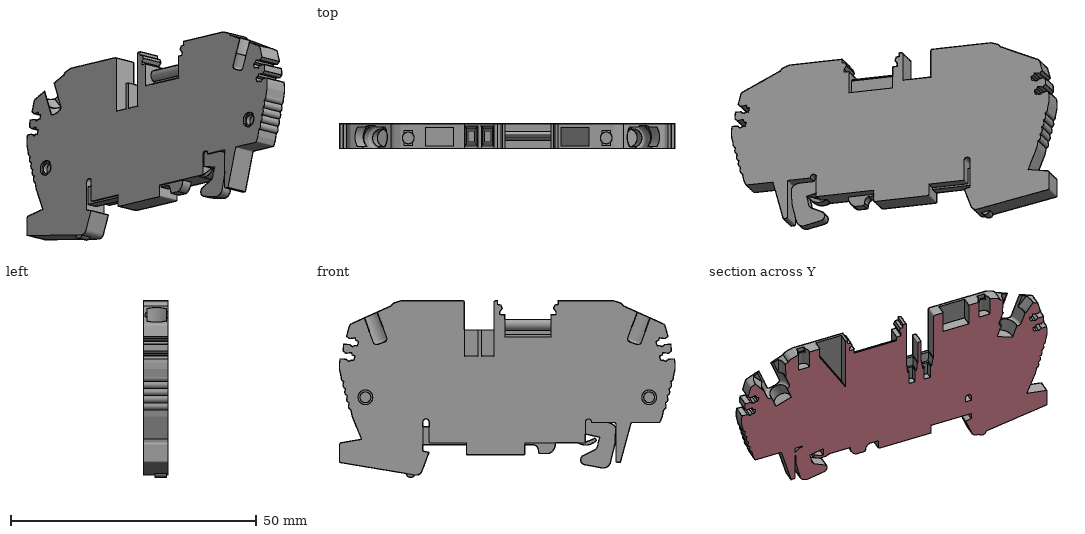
import cadquery as cq
import math

THICKNESS = 5.1
FRONT = -THICKNESS / 2
BACK = THICKNESS / 2
TOP = 36.06
CORNER_SEARCH = 0.05
HALF_LENGTH = 34.25

ROOF_END = (-21.7, TOP)
ROOF_NOSE = (-23.3, 35.55)
ROOF_NOSE_RADIUS = 1.6
ROOF_NOSE_FOOT = (-23.75, 35.0)
SHOULDER = (-32.15, 31.2)
SHOULDER_RADIUS = 0.8
NOTCH_START = (-32.8, 28.8)
NOTCH_PITCH = (-0.72, -3.0)
NOTCH_COUNT = 2
NOTCH_SHAPE = [
    (0, 0), (0.6, -0.5), (1.75, -0.35), (1.85, -0.8), (2.45, -1.05),
    (2.2, -1.9), (1.75, -1.85), (1.2, -2.1), (0.6, -1.65), (-0.6, -1.6),
]
FLANK_TOP = (-HALF_LENGTH, 23.3)
FLANK_BEND = (-HALF_LENGTH, 22.1)
TOOTH_START = (-33.9, 20.43)
TOOTH_PITCH = (0.37, -1.45)
TOOTH_CREST = (0.1, -0.5)
TOOTH_ROOT = (0.5, -0.85)
TOOTH_COUNT = 5
FLANK_BEND_LOW = (-31.63, 12.4)
FLANK_FOOT = (-29.75, 7.8)

FOOT_TIP_TOP = 7.03
FOOT_TIP_BOTTOM = 3.05
FOOT_TIP_RADIUS = 0.5
FOOT_HEEL = (-17.75, 0.3)
FOOT_HEEL_RADIUS = 1.3
FOOT_HOOK_TIP = (-15.95, 5.1)
FOOT_HOOK_ROOT = 5.4
SLOT_OUTER_X = 17.2
SLOT_INNER_X = 15.95
SLOT_SPRING = 11.3
SLOT_CENTER_X = (SLOT_OUTER_X + SLOT_INNER_X) / 2
SLOT_CROWN = SLOT_SPRING + (SLOT_OUTER_X - SLOT_INNER_X) / 2
UNDERSIDE = 7.03
KEEL_LEFT = -8.33
KEEL_RIGHT = 3.6
KEEL_BOTTOM = 4.58
SMALL_RADIUS = 0.3
TAB_LEFT = 22.15
TAB_BOTTOM = 3.09
TAB_TIP_RIGHT = 23.1
TAB_ROOT_RIGHT = 25.3
RIGHT_UNDERSIDE = 11.2

BRIDGE_LEFT = -8.74
BRIDGE_RIGHT = -2.74
BRIDGE_FLOOR = 24.74
BRIDGE_BACK_TOP = 30.1
BRIDGE_BACK_Y = 2.1
BRIDGE_RIB_LEFT = -6.0
BRIDGE_RIB_RIGHT = -5.24
POST_RADIUS = 0.4

MARKER_LEFT = -0.5
MARKER_RIGHT = 8.92
MARKER_FLOOR = 28.65
SNAP_SHAPE = [(0, 33.2), (1.0, 33.25), (1.0, 33.8), (0.5, 34.5), (0.8, 35.2), (1.45, 35.3), (1.45, TOP)]

FUNNEL_FRONT_Y = -2.0
FUNNEL_MARGIN = 0.1
FUNNEL_BOTTOM_SIZE = (1.9, 3.1)
FUNNEL_DEPTH = 2.0
SHAFT_SIZE = (1.3, 2.3)
SHAFT_Y = -0.1
SHAFT_DEPTH = 5.0
BRIDGE_RIB_RADIUS = 0.2

RAIL_CREST = (-0.15, 32.24)
RAIL_CREST_BACK_Y = 0.2
RAIL_FRONT = (-0.88, 31.1)
RAIL_UNDERCUT = (0.0, 29.95)
RAIL_SHOULDER_Z = 31.7
RAIL_BACK_Y = 0.9
RAIL_BASE_FRONT_Y = -0.65
RAIL_BASE_TOP = 29.2

ENTRY_TILT = 20
ENTRY_X = 27.85
ENTRY_Z = 33.2
ENTRY_Y = -0.4
ENTRY_RADIUS = 2.6
ENTRY_DEPTH = 6.2
ENTRY_BOTTOM_RADIUS = 0.6
WIRE_HOLE_RADIUS = 1.85
WIRE_HOLE_DEPTH = 9.0
MOUTH_Y = -0.17
MOUTH_WIDTH = 3.95
MOUTH_RADIUS = 3.65
MOUTH_THROAT_RADIUS = 2.75
MOUTH_DEPTH = 3.0
ENTRY_CLEARANCE = 3.0

POCKET_INNER_X = 10.93
POCKET_OUTER_X = 16.65
POCKET_FRONT_Y = -2.0
POCKET_BACK_Y = 1.77
POCKET_DEPTH = 5.0
POCKET_RAMP_TOP = 2.3
POCKET_RAMP_ANGLE = 60
SCREW_X = 20.2
SCREW_Y = -0.38
SCREW_DIAMETER = 2.4
SCREW_SLOT = (1.65, 3.0)
SCREW_SLOT_DEPTH = 1.0
SCREW_DEPTH = 4.0

SOCKET_X = 28.94
SOCKET_Z = 16.35
SOCKET_OUTER = 3.0
SOCKET_INNER = 2.2
SOCKET_STEP_DEPTH = 0.5
SOCKET_DEPTH = 1.5

SLIDER_FRONT = -2.2
SLIDER_BACK = 0.17
SLIDER_BOTTOM = 6.64
SLIDER_TOP = 10.35
LUG_START_X = 5.5
LUG_FRONT_ARC = [(6.15, 6.1), (6.35, 5.3)]
LUG_BOTTOM = 4.84
LUG_BOTTOM_LEFT = 6.5
LUG_BOTTOM_RIGHT = 8.5
LUG_BACK_ARC = [(9.5, 5.7), (9.85, 7.0)]
STUD_X = -19.7
STUD_RADIUS = 0.95

HOOK_ROOT_X = 15.6
HOOK_ROOT_TOP = 12.2
HOOK_ROOT_BOTTOM = 8.9
HOOK_STEM_RIGHT = 17.2
HOOK_TOP = RIGHT_UNDERSIDE
HOOK_CORNER_START_X = 20.3
HOOK_CORNER_ARC = [(21.5, 10.85), (TAB_LEFT, 10.2)]
HOOK_BACK = [(22.0, 6.9), (21.15, 3.4)]
HOOK_HEEL_ARC = [(20.6, 2.3), (19.4, 1.9)]
HOOK_TOE_START = (15.7, 2.6)
HOOK_TOE_ARC = [(14.97, 3.6), (15.55, 4.5)]
HOOK_THROAT_START = (18.0, 5.7)
HOOK_THROAT_ARC = [(18.4, 6.3), (18.5, 7.0)]
HOOK_THROAT_END = (18.85, 8.2)

TONGUE_ROOT = [(14.5, 7.4), (14.5, 7.0)]
TONGUE_LOWER_ARC = [(16.6, 6.64), (18.25, 7.6)]
TONGUE_TIP = (17.9, 8.05)
TONGUE_UPPER_ARC = [(17.0, 7.6), (15.9, 7.25)]


def plate(outline, front, back):
    """Extrude a closed XZ wire from Y = front to Y = back."""
    return outline.extrude(back - front).translate((0, back, 0))


def box(x_min, x_max, y_min, y_max, z_min, z_max):
    size = (x_max - x_min, y_max - y_min, z_max - z_min)
    return cq.Workplane("XY").box(*size, centered=False).translate((x_min, y_min, z_min))


def round_corners(solid, corners, radius):
    """Fillet the edges along Y that stand at the given XZ corners."""
    reach = CORNER_SEARCH
    for x, z in corners:
        low = (x - reach, -THICKNESS, z - reach)
        high = (x + reach, THICKNESS, z + reach)
        solid = solid.edges("|Y").edges(cq.selectors.BoxSelector(low, high)).fillet(radius)
    return solid


def mirrored(points):
    """The XZ points reflected about X = 0."""
    return [(-x, z) for x, z in points]


def offset(point, step, count=1):
    return (point[0] + step[0] * count, point[1] + step[1] * count)


def flank_points():
    """Left flank from the end of the roof down to just above the grip teeth."""
    points = [ROOF_END, ROOF_NOSE, ROOF_NOSE_FOOT, SHOULDER]
    for index in range(NOTCH_COUNT):
        start = offset(NOTCH_START, NOTCH_PITCH, index)
        points += [offset(start, point) for point in NOTCH_SHAPE]
    return points + [FLANK_TOP, FLANK_BEND]


def draw_teeth(outline, reverse):
    """Add the grip teeth of the left flank (reverse, upward) or of the right flank (downward)."""
    for index in range(TOOTH_COUNT):
        start = offset(TOOTH_START, TOOTH_PITCH, TOOTH_COUNT - 1 - index if reverse else index)
        tooth = [start, offset(start, TOOTH_CREST), offset(start, TOOTH_ROOT)]
        first, crest, last = reversed(tooth) if reverse else mirrored(tooth)
        outline = outline.lineTo(*first).threePointArc(crest, last)
    return outline


def draw_lines(outline, points):
    for x, z in points:
        outline = outline.lineTo(x, z)
    return outline


def flank_x(z):
    """X of the straight lower flank at height z."""
    x_top, z_top = FLANK_BEND_LOW
    x_low, z_low = FLANK_FOOT
    return x_top + (x_low - x_top) * (z_top - z) / (z_top - z_low)


def housing():
    """Plate with the full side outline, corners rounded."""
    left = flank_points()
    snap_left = [(MARKER_LEFT - x, z) for x, z in SNAP_SHAPE]
    snap_right = [(MARKER_RIGHT + x, z) for x, z in SNAP_SHAPE]
    roof = [
        (BRIDGE_LEFT, TOP), (BRIDGE_LEFT, BRIDGE_FLOOR), (BRIDGE_RIGHT, BRIDGE_FLOOR), (BRIDGE_RIGHT, TOP),
        *reversed(snap_left), (MARKER_LEFT, MARKER_FLOOR), (MARKER_RIGHT, MARKER_FLOOR), *snap_right,
    ]
    right_corner = (-flank_x(RIGHT_UNDERSIDE), RIGHT_UNDERSIDE)
    tab = [
        (TAB_ROOT_RIGHT, RIGHT_UNDERSIDE), (TAB_TIP_RIGHT, TAB_BOTTOM),
        (TAB_LEFT, TAB_BOTTOM), (TAB_LEFT, RIGHT_UNDERSIDE),
    ]
    keel = [
        (SLOT_INNER_X, UNDERSIDE), (KEEL_RIGHT, UNDERSIDE), (KEEL_RIGHT, KEEL_BOTTOM),
        (KEEL_LEFT, KEEL_BOTTOM), (KEEL_LEFT, UNDERSIDE), (-SLOT_INNER_X, UNDERSIDE),
    ]
    foot = [
        (-SLOT_OUTER_X, FOOT_HOOK_ROOT), FOOT_HOOK_TIP, FOOT_HEEL,
        (-HALF_LENGTH, FOOT_TIP_BOTTOM), (-HALF_LENGTH, FOOT_TIP_TOP), FLANK_FOOT,
    ]
    outline = cq.Workplane("XZ").moveTo(*FLANK_BEND_LOW)
    outline = draw_teeth(outline, reverse=True)
    outline = draw_lines(outline, [*reversed(left), *roof, *mirrored(left)])
    outline = draw_teeth(outline, reverse=False)
    outline = draw_lines(outline, [*mirrored([FLANK_BEND_LOW]), right_corner, *tab])
    outline = draw_lines(outline, [(SLOT_OUTER_X, RIGHT_UNDERSIDE), (SLOT_OUTER_X, SLOT_SPRING)])
    outline = outline.threePointArc((SLOT_CENTER_X, SLOT_CROWN), (SLOT_INNER_X, SLOT_SPRING))
    outline = draw_lines(outline, [*keel, (-SLOT_INNER_X, SLOT_SPRING)])
    outline = outline.threePointArc((-SLOT_CENTER_X, SLOT_CROWN), (-SLOT_OUTER_X, SLOT_SPRING))
    outline = draw_lines(outline, foot)
    solid = plate(outline.close(), FRONT, BACK)

    shoulders = [SHOULDER, *mirrored([SHOULDER])]
    solid = round_corners(solid, shoulders, SHOULDER_RADIUS)
    noses = [ROOF_NOSE, *mirrored([ROOF_NOSE])]
    solid = round_corners(solid, noses, ROOF_NOSE_RADIUS)
    solid = round_corners(solid, [FOOT_HEEL], FOOT_HEEL_RADIUS)
    solid = round_corners(solid, [(BRIDGE_LEFT, TOP), (BRIDGE_RIGHT, TOP)], POST_RADIUS)
    solid = round_corners(solid, [(-HALF_LENGTH, FOOT_TIP_TOP)], FOOT_TIP_RADIUS)
    small_corners = [
        (KEEL_LEFT, KEEL_BOTTOM), (KEEL_RIGHT, KEEL_BOTTOM), (-SLOT_INNER_X, UNDERSIDE),
        (-HALF_LENGTH, FOOT_TIP_BOTTOM), (TAB_LEFT, TAB_BOTTOM),
        (TAB_LEFT, RIGHT_UNDERSIDE), (TAB_ROOT_RIGHT, RIGHT_UNDERSIDE), right_corner,
    ]
    return round_corners(solid, small_corners, SMALL_RADIUS)


def bridge_walls():
    """Rear wall and dividing rib of the bridge slot."""
    rear = box(BRIDGE_LEFT, BRIDGE_RIGHT, BRIDGE_BACK_Y, BACK, BRIDGE_FLOOR, BRIDGE_BACK_TOP)
    rib = box(BRIDGE_RIB_LEFT, BRIDGE_RIB_RIGHT, FRONT, BRIDGE_BACK_Y, BRIDGE_FLOOR, BRIDGE_BACK_TOP)
    rib = round_corners(rib, [(BRIDGE_RIB_RIGHT, BRIDGE_BACK_TOP)], BRIDGE_RIB_RADIUS)
    return rear.union(rib)


def bridge_contact(x_min, x_max):
    """Tapered lead-in with a rectangular shaft below it."""
    width = x_max - x_min - 2 * FUNNEL_MARGIN
    length = BRIDGE_BACK_Y - FUNNEL_FRONT_Y
    middle = ((x_min + x_max) / 2, (BRIDGE_BACK_Y + FUNNEL_FRONT_Y) / 2)
    funnel = (
        cq.Workplane("XY", origin=(*middle, BRIDGE_FLOOR))
        .rect(width, length)
        .workplane(offset=-FUNNEL_DEPTH)
        .center(0, SHAFT_Y - middle[1])
        .rect(*FUNNEL_BOTTOM_SIZE)
        .loft(ruled=True)
    )
    shaft = (
        cq.Workplane("XY", origin=(middle[0], SHAFT_Y, BRIDGE_FLOOR))
        .rect(*SHAFT_SIZE)
        .extrude(-SHAFT_DEPTH)
    )
    return funnel.union(shaft)


def marker_rail():
    """Rail along the marker channel: bulged front, sloping back, undercut above a low base."""
    outline = (
        cq.Workplane("YZ", origin=(MARKER_LEFT, 0, 0))
        .moveTo(*RAIL_CREST)
        .threePointArc(RAIL_FRONT, RAIL_UNDERCUT)
        .lineTo(RAIL_UNDERCUT[0], RAIL_BASE_TOP)
        .lineTo(RAIL_BASE_FRONT_Y, RAIL_BASE_TOP)
        .lineTo(RAIL_BASE_FRONT_Y, MARKER_FLOOR)
        .lineTo(RAIL_BACK_Y, MARKER_FLOOR)
        .lineTo(RAIL_BACK_Y, RAIL_SHOULDER_Z)
        .lineTo(RAIL_CREST_BACK_Y, RAIL_CREST[1])
        .close()
    )
    return outline.extrude(MARKER_RIGHT - MARKER_LEFT)


def conductor_entry():
    """Left conductor entry: tilted bore that opens the front face, conical mouth, wire hole below."""
    axis = cq.Workplane("XY", origin=(0, ENTRY_Y, ENTRY_CLEARANCE))
    bore = axis.circle(ENTRY_RADIUS).extrude(-ENTRY_DEPTH - ENTRY_CLEARANCE)
    bore = bore.faces("<Z").edges().fillet(ENTRY_BOTTOM_RADIUS)
    wire_hole = axis.circle(WIRE_HOLE_RADIUS).extrude(-WIRE_HOLE_DEPTH - ENTRY_CLEARANCE)

    surface = cq.Workplane("XY", origin=(0, MOUTH_Y, 0))
    cone = (
        surface.circle(MOUTH_RADIUS)
        .workplane(offset=-MOUTH_DEPTH)
        .circle(MOUTH_THROAT_RADIUS)
        .loft()
    )
    mouth = cone.union(surface.circle(MOUTH_RADIUS).extrude(ENTRY_CLEARANCE))
    mouth = mouth.intersect(box(
        -MOUTH_RADIUS, MOUTH_RADIUS, MOUTH_Y - MOUTH_WIDTH / 2, MOUTH_Y + MOUTH_WIDTH / 2,
        -MOUTH_DEPTH, ENTRY_CLEARANCE,
    ))
    entry = bore.union(wire_hole).union(mouth)
    return entry.rotate((0, 0, 0), (0, 1, 0), -ENTRY_TILT).translate((-ENTRY_X, 0, ENTRY_Z))


def left_pocket():
    return box(
        -POCKET_OUTER_X, -POCKET_INNER_X, POCKET_FRONT_Y, POCKET_BACK_Y, TOP - POCKET_DEPTH, TOP
    )


def right_pocket():
    """Pocket whose floor climbs steeply toward +X."""
    drop = (POCKET_OUTER_X - POCKET_INNER_X) * math.tan(math.radians(POCKET_RAMP_ANGLE))
    ramp_top = TOP - POCKET_RAMP_TOP
    outline = cq.Workplane("XZ").polyline([
        (POCKET_INNER_X, TOP), (POCKET_OUTER_X, TOP),
        (POCKET_OUTER_X, ramp_top), (POCKET_INNER_X, ramp_top - drop),
    ]).close()
    return plate(outline, POCKET_FRONT_Y, POCKET_BACK_Y)


def screw_hole(x):
    """Round hole crossed by a shallow slot along Y."""
    face = cq.Workplane("XY", origin=(x, SCREW_Y, TOP))
    hole = face.circle(SCREW_DIAMETER / 2).extrude(-SCREW_DEPTH)
    return hole.union(face.rect(*SCREW_SLOT).extrude(-SCREW_SLOT_DEPTH))


def test_socket(x):
    """Counterbored blind socket in the front face."""
    face = cq.Workplane("XZ", origin=(x, FRONT, SOCKET_Z))
    counterbore = face.circle(SOCKET_OUTER / 2).extrude(-SOCKET_STEP_DEPTH)
    return counterbore.union(face.circle(SOCKET_INNER / 2).extrude(-SOCKET_DEPTH))


def slider_bar():
    """Flat bar with a finger lug, running through the housing above the rail."""
    outline = (
        cq.Workplane("XZ")
        .moveTo(-SLOT_OUTER_X, SLIDER_TOP)
        .lineTo(-SLOT_OUTER_X, SLIDER_BOTTOM)
        .lineTo(LUG_START_X, SLIDER_BOTTOM)
        .threePointArc(*LUG_FRONT_ARC)
        .lineTo(LUG_BOTTOM_LEFT, LUG_BOTTOM)
        .lineTo(LUG_BOTTOM_RIGHT, LUG_BOTTOM)
        .threePointArc(*LUG_BACK_ARC)
        .lineTo(LUG_BACK_ARC[-1][0], SLIDER_TOP)
        .close()
    )
    return plate(outline, SLIDER_FRONT, SLIDER_BACK)


def slider_hook():
    """Rail hook at the right end of the slider."""
    root = [(HOOK_STEM_RIGHT, HOOK_ROOT_TOP), (HOOK_STEM_RIGHT, HOOK_TOP), (HOOK_CORNER_START_X, HOOK_TOP)]
    outline = cq.Workplane("XZ").moveTo(HOOK_ROOT_X, HOOK_ROOT_TOP)
    outline = draw_lines(outline, root).threePointArc(*HOOK_CORNER_ARC)
    outline = draw_lines(outline, HOOK_BACK).threePointArc(*HOOK_HEEL_ARC)
    outline = outline.lineTo(*HOOK_TOE_START).threePointArc(*HOOK_TOE_ARC)
    outline = outline.lineTo(*HOOK_THROAT_START).threePointArc(*HOOK_THROAT_ARC)
    outline = draw_lines(outline, [HOOK_THROAT_END, (HOOK_ROOT_X, HOOK_ROOT_BOTTOM)]).close()
    return plate(outline, SLIDER_FRONT, SLIDER_BACK)


def slider_tongue():
    """Curved spring tongue beside the hook."""
    outline = (
        cq.Workplane("XZ")
        .polyline(TONGUE_ROOT)
        .threePointArc(*TONGUE_LOWER_ARC)
        .lineTo(*TONGUE_TIP)
        .threePointArc(*TONGUE_UPPER_ARC)
        .close()
    )
    return plate(outline, SLIDER_FRONT, SLIDER_BACK)


def slider_stud():
    """Round end of the slider that peeks out under the foot."""
    outline = cq.Workplane("XZ").center(STUD_X, STUD_RADIUS).circle(STUD_RADIUS)
    return plate(outline, SLIDER_FRONT, SLIDER_BACK)


result = housing().union(bridge_walls()).union(marker_rail())
result = result.cut(bridge_contact(BRIDGE_LEFT, BRIDGE_RIB_LEFT))
result = result.cut(bridge_contact(BRIDGE_RIB_RIGHT, BRIDGE_RIGHT))
result = result.cut(conductor_entry()).cut(conductor_entry().mirror("YZ"))
result = result.cut(left_pocket()).cut(right_pocket())
for side in (-1, 1):
    result = result.cut(screw_hole(side * SCREW_X)).cut(test_socket(side * SOCKET_X))
for piece in (slider_bar(), slider_hook(), slider_tongue(), slider_stud()):
    result = result.union(piece)